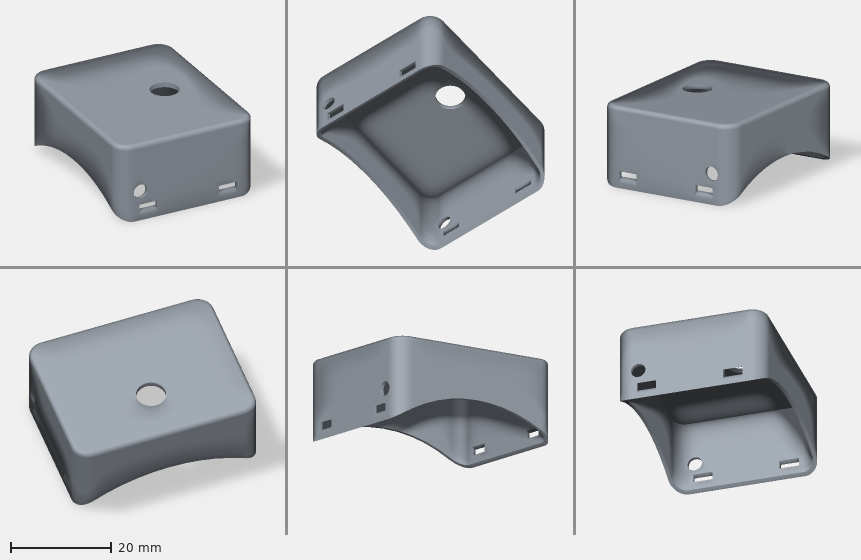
import cadquery as cq

length = 39.0
width = 31.0
height = 16.93
corner_radius = 3.45
top_fillet = 0.95

wall = 0.78
roof = 1.0

saddle_rise = 5.93
saddle_radius = ((length / 2) ** 2 + saddle_rise**2) / (2 * saddle_rise)
saddle_axis_z = saddle_rise - saddle_radius

strap_gap = 1.5
strap_thickness = 1.5
strap_width = 4.0
strap_offset = 9.0
sill_radius = 1.17

top_hole_diameter = 6.0
top_hole_y = 5.0
side_hole_diameter = 3.0
side_hole_y = -10.75
side_hole_z = 6.45


def rounded_block(size_x, size_y, size_z, radius):
    """Block standing on Z = 0 with rounded vertical corners."""
    block = cq.Workplane("XY").box(size_x, size_y, size_z, centered=(True, True, False))
    return block.edges("|Z").fillet(radius)


def saddle_cylinder(radius, size_y, center_y=0.0):
    """Cylinder about the saddle axis, centred at center_y."""
    return (
        cq.Workplane("XZ", origin=(0, center_y, saddle_axis_z))
        .circle(radius)
        .extrude(size_y / 2, both=True)
    )


def strap_slot(center_y):
    """Curved band cut through both end walls for a strap."""
    inner_radius = saddle_radius + strap_gap
    outer = saddle_cylinder(inner_radius + strap_thickness, strap_width, center_y)
    inner = saddle_cylinder(inner_radius, strap_width, center_y)
    return outer.cut(inner)


body = rounded_block(length, width, height, corner_radius).faces(">Z").edges().fillet(top_fillet)
cavity = rounded_block(length - 2 * wall, width - 2 * wall, height - roof, corner_radius - wall)
body = body.cut(cavity)

body = body.cut(saddle_cylinder(saddle_radius, width))

for slot_y in (-strap_offset, strap_offset):
    body = body.cut(strap_slot(slot_y))
sill_edge_z = saddle_axis_z + ((saddle_radius + strap_gap) ** 2 - (length / 2) ** 2) ** 0.5
for end_x in (-length / 2, length / 2):
    for slot_y in (-strap_offset, strap_offset):
        sill_edge = cq.selectors.NearestToPointSelector((end_x, slot_y, sill_edge_z))
        body = body.edges(sill_edge).fillet(sill_radius)

top_hole = cq.Workplane("XY").center(0, top_hole_y).circle(top_hole_diameter / 2).extrude(height)
body = body.cut(top_hole)

side_hole = (
    cq.Workplane("YZ")
    .center(side_hole_y, side_hole_z)
    .circle(side_hole_diameter / 2)
    .extrude(length / 2, both=True)
)
result = body.cut(side_hole)